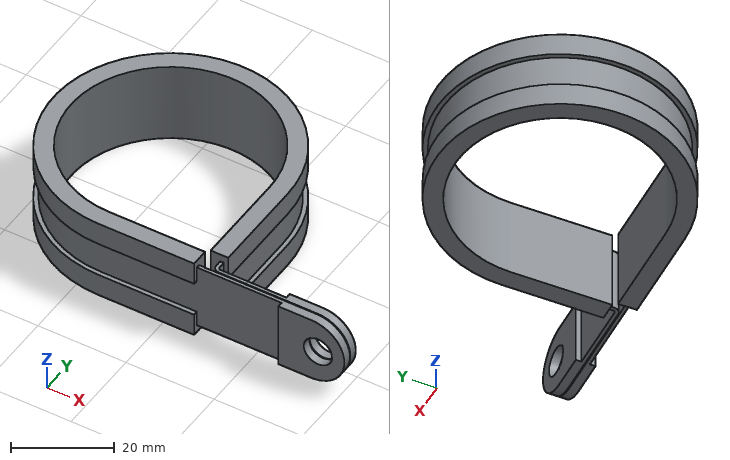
import cadquery as cq
import math

bore_radius = 22.5
cushion_thickness = 4.0
cushion_width = 18.5
cushion_radius = bore_radius + cushion_thickness
lower_leg_length = 21.8
upper_leg_length = 21.6

groove_width = 8.0
groove_depth = 1.0

band_thickness = 0.8
band_width = 15.0
band_outer_radius = cushion_radius - groove_depth
band_inner_radius = band_outer_radius - band_thickness
bend_inner_radius = 0.6
bend_outer_radius = bend_inner_radius + band_thickness

ear_tip_x = 56.0
ear_length = 15.0
ear_thickness = 2.0
ear_gap = 0.2
ear_start_x = ear_tip_x - ear_length
ear_round_radius = band_width / 2
hole_diameter = 6.4
hole_x = 50.0

lower_tail_face_y = -band_inner_radius
upper_tail_face_y = lower_tail_face_y + ear_gap


def box_between(x_min, x_max, y_min, y_max, height):
    """Box spanning the given X and Y limits, centred on Z = 0."""
    return (
        cq.Workplane("XY")
        .box(x_max - x_min, y_max - y_min, height)
        .translate(((x_min + x_max) / 2, (y_min + y_max) / 2, 0))
    )


def loop_strip(inner_radius, outer_radius, height):
    """Three-quarter ring with its two straight legs, centred on Z = 0."""
    diagonal = math.sqrt(0.5)
    return (
        cq.Workplane("XY")
        .workplane(offset=-height / 2)
        .moveTo(outer_radius, -upper_leg_length)
        .lineTo(outer_radius, 0)
        .threePointArc((-outer_radius * diagonal, outer_radius * diagonal), (0, -outer_radius))
        .lineTo(lower_leg_length, -outer_radius)
        .lineTo(lower_leg_length, -inner_radius)
        .lineTo(0, -inner_radius)
        .threePointArc((-inner_radius * diagonal, inner_radius * diagonal), (inner_radius, 0))
        .lineTo(inner_radius, -upper_leg_length)
        .close()
        .extrude(height)
    )


def grooved_cushion():
    """Cushion with the outer groove cut down to the band surface."""
    cushion = loop_strip(bore_radius, cushion_radius, cushion_width)
    groove = loop_strip(band_outer_radius, cushion_radius, groove_width)
    return cushion.cut(groove)


def lower_tail():
    """Flat tail continuing the lower leg out to its ear."""
    return box_between(
        lower_leg_length, ear_start_x, -band_outer_radius, lower_tail_face_y, band_width
    )


def upper_tail():
    """Tail leaving the upper leg along -Y and bending towards +X to its ear."""
    tail_back_y = upper_tail_face_y + band_thickness
    bend_x = band_inner_radius + bend_outer_radius
    bend_y = upper_tail_face_y + bend_outer_radius
    inner_offset = bend_inner_radius * math.sqrt(0.5)
    outer_offset = bend_outer_radius * math.sqrt(0.5)
    return (
        cq.Workplane("XY")
        .workplane(offset=-band_width / 2)
        .moveTo(band_inner_radius, -upper_leg_length)
        .lineTo(band_inner_radius, bend_y)
        .threePointArc((bend_x - outer_offset, bend_y - outer_offset), (bend_x, upper_tail_face_y))
        .lineTo(ear_start_x, upper_tail_face_y)
        .lineTo(ear_start_x, tail_back_y)
        .lineTo(bend_x, tail_back_y)
        .threePointArc((bend_x - inner_offset, bend_y - inner_offset), (band_outer_radius, bend_y))
        .lineTo(band_outer_radius, -upper_leg_length)
        .close()
        .extrude(band_width)
    )


def ear(y_min):
    """Round-ended ear with its bolt hole, from y_min to y_min + ear_thickness."""
    y_max = y_min + ear_thickness
    round_x = ear_tip_x - ear_round_radius
    plate = box_between(ear_start_x, round_x, y_min, y_max, band_width)
    face = cq.Workplane("XZ", origin=(0, y_max, 0))
    tip = face.center(round_x, 0).circle(ear_round_radius).extrude(ear_thickness)
    hole = face.center(hole_x, 0).circle(hole_diameter / 2).extrude(ear_thickness)
    return plate.union(tip).cut(hole)


result = (
    grooved_cushion()
    .union(lower_tail())
    .union(upper_tail())
    .union(ear(lower_tail_face_y - ear_thickness))
    .union(ear(upper_tail_face_y))
)